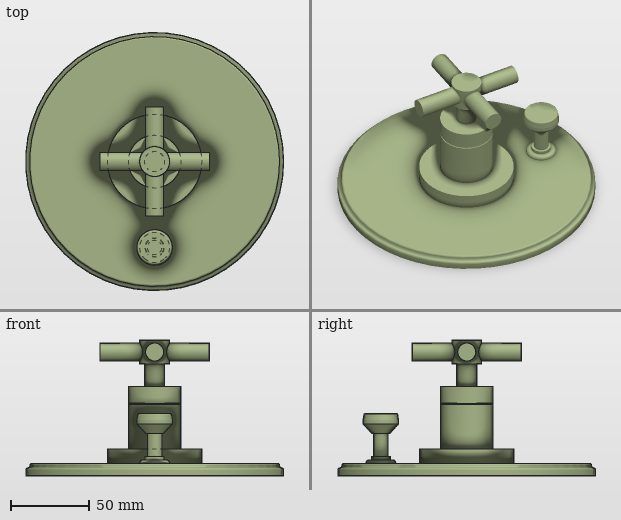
import cadquery as cq

plate_radius = 82.5
plate_height = 8.0
rim_wall_height = 3.6
rim_shoulder_radius = 81.5
rim_shoulder_height = 5.0
rim_step_radius = 79.9
rim_step_height = 7.0
plate_top_radius = 78.5

flange_radius = 30.2
flange_top = 17.3
body_radius = 16.8
body_top = 57.3
stem_radius = 6.5
gap_bottom = 45.7
gap_height = 0.7

hub_radius = 9.5
hub_height = 15.2
overall_height = 86.8
arm_radius = 5.8
arm_span = 70.0
hub_bottom = overall_height - hub_height
arm_height = overall_height - hub_height / 2

knob_offset = 55.0
foot_radius = 9.5
foot_top_radius = 7.6
foot_top = 10.2
collar_radius = 6.1
collar_top = 12.4
knob_stem_radius = 4.6
knob_bottom_radius = 5.8
knob_bottom = 27.2
knob_rim_radius = 11.4
knob_rim_bottom = 33.2
knob_rim_top = 35.7
knob_top_radius = 10.7
knob_top = 39.8
knob_edge_round = 0.8

arc_depth = 0.2


def cylinder(radius, bottom, top):
    """Upright cylinder on the Z axis."""
    return cq.Workplane("XY").workplane(offset=bottom).circle(radius).extrude(top - bottom)


def arc_bulge(start, end, bulge):
    """Point beside the middle of a chord, offset to its right by a share of its length."""
    run = end[0] - start[0]
    rise = end[1] - start[1]
    return (
        (start[0] + end[0]) / 2 + rise * bulge,
        (start[1] + end[1]) / 2 - run * bulge,
    )


def revolve_profile(profile):
    """Turn a half profile, drawn as radius and height, around the Z axis."""
    return profile.close().revolve(360, (0, 0, 0), (0, 1, 0))


def make_plate():
    """Disc whose rim rises through a round, a hollow and a second round."""
    wall_top = (plate_radius, rim_wall_height)
    shoulder = (rim_shoulder_radius, rim_shoulder_height)
    step = (rim_step_radius, rim_step_height)
    top_edge = (plate_top_radius, plate_height)
    profile = (
        cq.Workplane("XZ")
        .lineTo(plate_radius, 0)
        .lineTo(*wall_top)
        .tangentArcPoint(shoulder, relative=False)
        .threePointArc(arc_bulge(shoulder, step, -arc_depth), step)
        .threePointArc(arc_bulge(step, top_edge, arc_depth), top_edge)
        .lineTo(0, plate_height)
    )
    return revolve_profile(profile)


def make_valve_body():
    """Flange and body, split by a thin gap that leaves only the stem."""
    flange = cylinder(flange_radius, 0, flange_top)
    lower_body = cylinder(body_radius, 0, gap_bottom)
    upper_body = cylinder(body_radius, gap_bottom + gap_height, body_top)
    stem = cylinder(stem_radius, 0, arm_height)
    return flange.union(lower_body).union(stem).union(upper_body)


def make_handle():
    """Round hub crossed by two horizontal bars."""
    handle = cylinder(hub_radius, hub_bottom, overall_height)
    for plane in ("XZ", "YZ"):
        arm = (
            cq.Workplane(plane)
            .center(0, arm_height)
            .circle(arm_radius)
            .extrude(arm_span / 2, both=True)
        )
        handle = handle.union(arm)
    return handle


def make_knob():
    """Knob on a thin stem, with a collar and a rounded foot on the plate."""
    foot_bottom_edge = (foot_radius, plate_height)
    foot_top_edge = (foot_top_radius, foot_top)
    profile = (
        cq.Workplane("XZ")
        .lineTo(foot_radius, 0)
        .lineTo(*foot_bottom_edge)
        .threePointArc(arc_bulge(foot_bottom_edge, foot_top_edge, arc_depth), foot_top_edge)
        .lineTo(collar_radius, foot_top)
        .lineTo(collar_radius, collar_top)
        .lineTo(knob_stem_radius, collar_top)
        .lineTo(knob_stem_radius, knob_bottom)
        .lineTo(knob_bottom_radius, knob_bottom)
        .lineTo(knob_rim_radius, knob_rim_bottom)
        .lineTo(knob_rim_radius, knob_rim_top)
        .lineTo(knob_top_radius, knob_top)
        .lineTo(0, knob_top)
    )
    knob = revolve_profile(profile).faces(">Z").edges().fillet(knob_edge_round)
    return knob.translate((0, -knob_offset, 0))


result = make_plate().union(make_valve_body()).union(make_handle()).union(make_knob())